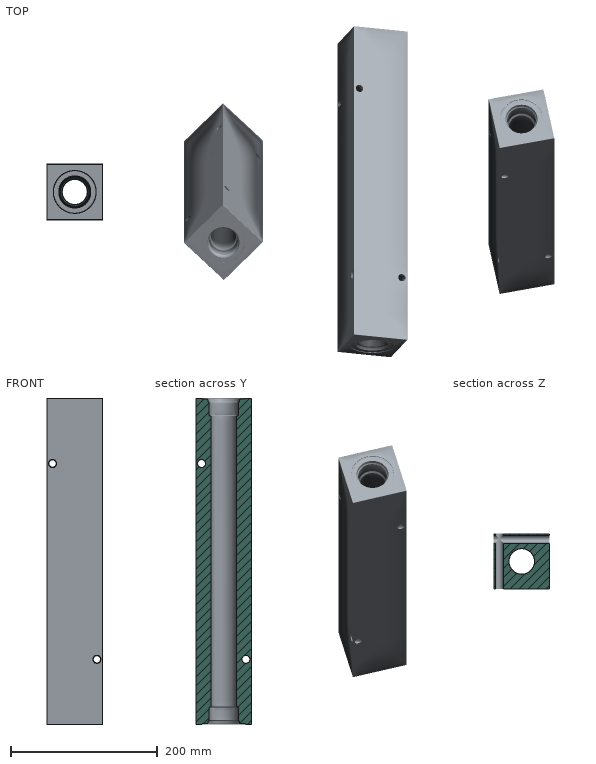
import cadquery as cq
import math

length = 444.5
side = 76.0
edge_break = 0.22

bore_diameter = 34.2
spotface_diameter = 58.2
spotface_depth = 1.0

seal_mouth_diameter = 43.5
seal_angle = 15.0
seal_depth = 3.5
port_diameter = 39.0
port_depth = 22.2
drill_point_angle = 120.0

cross_diameter = 10.2
cross_offset = 30.2
cross_height = 133.5


def port():
    """Port cutter on +Z: spotface, seal cone, lead-in, straight wall and cone down to the bore."""
    top = length / 2
    floor = top - spotface_depth
    spotface_radius = spotface_diameter / 2
    mouth_radius = seal_mouth_diameter / 2
    port_radius = port_diameter / 2
    bore_radius = bore_diameter / 2

    seal_end_radius = mouth_radius - seal_depth * math.tan(math.radians(seal_angle))
    seal_end = floor - seal_depth
    lead_in_end = seal_end - (seal_end_radius - port_radius)
    wall_end = floor - port_depth
    cone_end = wall_end - (port_radius - bore_radius) / math.tan(math.radians(drill_point_angle / 2))

    profile = [
        (0, top),
        (spotface_radius, top),
        (spotface_radius, floor),
        (mouth_radius, floor),
        (seal_end_radius, seal_end),
        (port_radius, lead_in_end),
        (port_radius, wall_end),
        (bore_radius, cone_end),
        (0, cone_end),
    ]
    return cq.Workplane("XZ").polyline(profile).close().revolve(360, (0, 0), (0, 1))


def cross_hole(plane, across, height):
    """Cylinder through the whole block, normal to the given plane."""
    return (
        cq.Workplane(plane)
        .center(across, height)
        .circle(cross_diameter / 2)
        .extrude(side, both=True)
    )


result = cq.Workplane("XY").box(side, side, length).edges().chamfer(edge_break)
result = result.cut(cq.Workplane("XY").circle(bore_diameter / 2).extrude(length, both=True))

upper_port = port()
result = result.cut(upper_port)
result = result.cut(upper_port.mirror("XY"))

for end in (1, -1):
    result = result.cut(cross_hole("XZ", -end * cross_offset, end * cross_height))
    result = result.cut(cross_hole("YZ", end * cross_offset, end * cross_height))